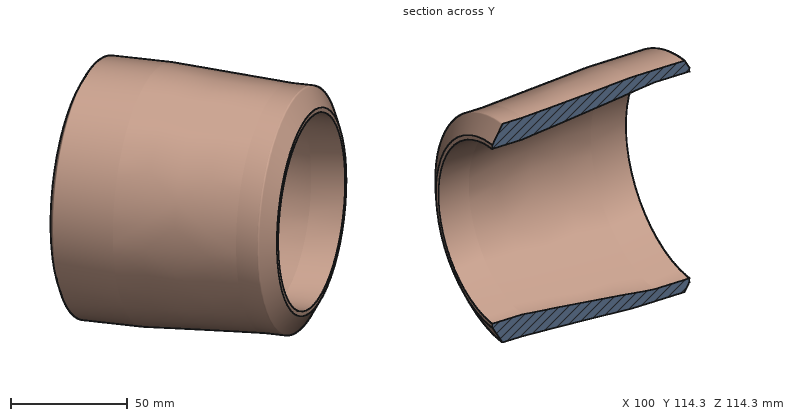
import cadquery as cq
import math

length = 100.0
large_outer_radius = 114.3 / 2
large_bore_radius = 101.7 / 2
small_outer_radius = 108.0 / 2
small_bore_radius = 86.0 / 2

outer_cone_start = 29.8
bore_cone_start = 17.8
cone_end = 84.7

root_face_width = 2.1
bevel_angle = 30
bevel_corner_radius = 1.0

large_face_radius = large_bore_radius + root_face_width
small_face_radius = small_bore_radius + root_face_width


def bevel_length(outer_radius, face_radius):
    """Axial length of a bevel before its outer corner is rounded."""
    return (outer_radius - face_radius) * math.tan(math.radians(bevel_angle))


def revolve_about_x(profile):
    """Revolve a closed profile of (x, radius) points about the X axis."""
    return cq.Workplane("XY").polyline(profile).close().revolve(360, (0, 0, 0), (1, 0, 0))


def round_bevel_corner(body, x, radius):
    """Round the circular edge centred on the axis at x with the given radius."""
    margin = 0.1
    corner = cq.selectors.BoxSelector(
        (x - margin, -radius - margin, -radius - margin),
        (x + margin, radius + margin, radius + margin),
        boundingbox=True,
    )
    return body.edges("%CIRCLE").edges(corner).fillet(bevel_corner_radius)


large_corner_x = bevel_length(large_outer_radius, large_face_radius)
small_corner_x = length - bevel_length(small_outer_radius, small_face_radius)

outer_profile = [
    (0, large_face_radius),
    (large_corner_x, large_outer_radius),
    (outer_cone_start, large_outer_radius),
    (cone_end, small_outer_radius),
    (small_corner_x, small_outer_radius),
    (length, small_face_radius),
]
bore_profile = [
    (length, small_bore_radius),
    (cone_end, small_bore_radius),
    (bore_cone_start, large_bore_radius),
    (0, large_bore_radius),
]

result = revolve_about_x(outer_profile + bore_profile)
result = round_bevel_corner(result, large_corner_x, large_outer_radius)
result = round_bevel_corner(result, small_corner_x, small_outer_radius)